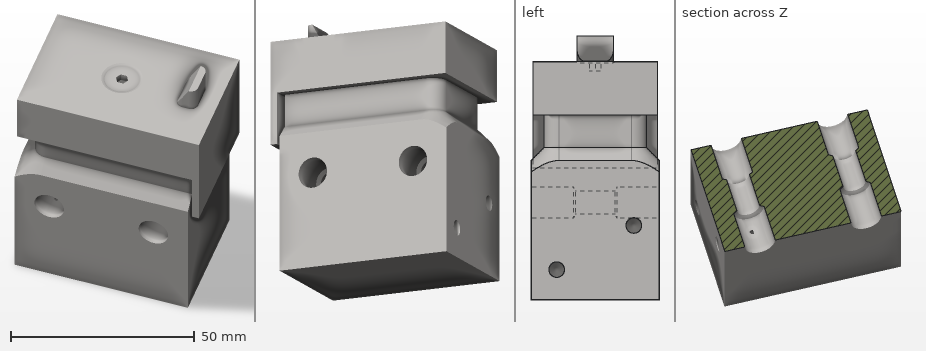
import cadquery as cq
import math

base_length = 50.0
base_width = 35.0
bevel_bottom = 38.0

neck_bottom = 41.55
neck_inset = neck_bottom - bevel_bottom
neck_radius = 4.0
bevel_angle = 45
bevel_extent = 7.2

overall_length = 53.0
overall_height = 72.0
plate_left = 0.5
plate_width = 34.0
plate_bottom = 50.5
plate_top = 65.0
tongue_thickness = 2.0
tongue_bottom = 36.0

cross_hole_places = (10.0, 40.0)
cross_hole_height = 26.6
cross_hole_diameter = 6.3
end_bore_diameter = 8.5
end_bore_depth = 11.5

blind_hole_places = ((10.5, 8.3), (-10.5, 20.3))
blind_hole_diameter = 4.25
blind_hole_depth = 10.1
drill_point_angle = 118

screw_x = base_length / 2
recess_diameter = 11.3
head_diameter = 9.6
recess_depth = 0.35
hex_corners = 3.5
hex_depth = 2.15

catch_left = 42.0
catch_right = 47.95
catch_width = 10.0
catch_radius = 2.0
catch_flat = 2.0
catch_slope = 30


def box(x_min, x_max, width, z_min, z_max):
    """Box centred on Y."""
    plan = cq.Workplane("XY", origin=((x_min + x_max) / 2, 0, z_min))
    return plan.rect(x_max - x_min, width).extrude(z_max - z_min)


def drill(diameter, depth, end_diameter=0.0):
    """Cylinder along +Z whose far end narrows at the drill point angle."""
    radius = diameter / 2
    end_radius = end_diameter / 2
    tip = (radius - end_radius) / math.tan(math.radians(drill_point_angle / 2))
    outline = cq.Workplane("XZ").lineTo(radius, 0).lineTo(radius, depth).lineTo(end_radius, depth + tip)
    if end_radius > 0:
        outline = outline.lineTo(0, depth + tip)
    return outline.close().revolve(360, (0, 0), (0, 1))


def make_base():
    """Base block with its bevel and the round-cornered neck."""
    outset = bevel_extent - neck_inset
    bevel_left = -outset
    bevel_right = base_length + 2 * bevel_extent
    outline = (
        cq.Sketch()
        .rect(bevel_right - bevel_left, base_width + 2 * outset)
        .vertices("<X")
        .fillet(neck_radius + bevel_extent)
    )
    bevel = (
        cq.Workplane("XY", origin=((bevel_left + bevel_right) / 2, 0, neck_bottom - bevel_extent))
        .placeSketch(outline)
        .extrude(bevel_extent, taper=bevel_angle)
    )
    bevel = bevel.intersect(box(0, base_length, base_width, 0, neck_bottom))
    block = box(0, base_length, base_width, 0, neck_bottom - bevel_extent)
    neck = box(neck_inset, base_length, base_width - 2 * neck_inset, neck_bottom, plate_bottom)
    neck = neck.edges("|Z and <X").fillet(neck_radius)
    return block.union(bevel).union(neck)


def make_cap():
    """Plate with its end tongue."""
    plate = box(plate_left, overall_length, plate_width, plate_bottom, plate_top)
    tongue = box(overall_length - tongue_thickness, overall_length, plate_width, tongue_bottom, plate_bottom)
    return plate.union(tongue)


def make_catch():
    """Round-cornered post with a sloping left side."""
    post = box(catch_left, catch_right, catch_width, plate_top, overall_height)
    post = post.edges("|Z").fillet(catch_radius)
    run = (overall_height - plate_top) * math.tan(math.radians(catch_slope))
    crest = catch_right - catch_flat
    side = (
        cq.Workplane("XZ")
        .polyline([
            (crest - run, plate_top),
            (catch_right, plate_top),
            (catch_right, overall_height),
            (crest, overall_height),
        ])
        .close()
        .extrude(catch_width / 2, both=True)
    )
    return post.intersect(side)


def cut_cross_holes(body):
    bore = drill(end_bore_diameter, end_bore_depth, cross_hole_diameter)
    through = cq.Workplane("XY").circle(cross_hole_diameter / 2).extrude(base_width)
    tool = through.union(bore).union(bore.mirror("XY").translate((0, 0, base_width)))
    tool = tool.rotate((0, 0, 0), (1, 0, 0), -90)
    for x in cross_hole_places:
        body = body.cut(tool.translate((x, -base_width / 2, cross_hole_height)))
    return body


def cut_blind_holes(body):
    tool = drill(blind_hole_diameter, blind_hole_depth).rotate((0, 0, 0), (0, 1, 0), 90)
    for y, z in blind_hole_places:
        body = body.cut(tool.translate((0, y, z)))
    return body


def cut_screw_head(body):
    """Shallow conical recess with a hexagon socket in its floor."""
    recess = (
        cq.Workplane("XY", origin=(screw_x, 0, plate_top))
        .circle(recess_diameter / 2)
        .workplane(offset=-recess_depth)
        .circle(head_diameter / 2)
        .loft()
    )
    floor = cq.Workplane("XY", origin=(screw_x, 0, plate_top - recess_depth))
    socket = floor.polygon(6, hex_corners).extrude(-hex_depth)
    return body.cut(recess).cut(socket)


body = make_base().union(make_cap()).union(make_catch())
body = cut_cross_holes(body)
body = cut_blind_holes(body)
result = cut_screw_head(body)